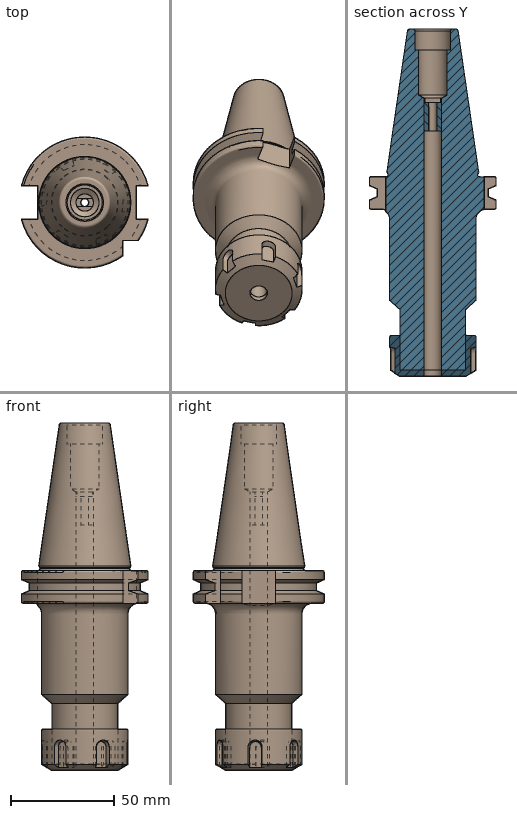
import cadquery as cq
import math

gauge_radius = 44.45 / 2
shank_length = 68.4
taper_ratio = 7 / 24
shank_end_radius = gauge_radius - shank_length * taper_ratio / 2
shank_end_rounding = 1.3
taper_angle = math.atan(taper_ratio / 2)
taper_bottom = -1.0
taper_bottom_radius = gauge_radius - taper_bottom * taper_ratio / 2
collar_radius = gauge_radius - 0.15

flange_radius = 63.55 / 2
flange_top = -3.2
flange_bottom = -19.1
flange_rounding = 1.0
root_fillet = 1.0
root_step = 0.35
groove_radius = 56.25 / 2
groove_middle = -11.1
groove_floor_width = 3.7
groove_mouth_width = 7.0

key_width = 16.1
key_left_x = -22.8
key_right_x = 25.0
notch_x = 18.5
notch_y = -18.5
cutout_bottom = flange_bottom - 2

body_radius = 42 / 2
body_fillet = 5.0
body_bottom = -63.2
neck_radius = 32 / 2
neck_top = -67.7
neck_bottom = -97.0

bore_radius = 17 / 2
bore_entry_radius = 18.2 / 2
bore_entry_depth = 1.0
bore_depth = 10.2
drill_radius = 13.8 / 2
drill_depth = 32.0
drill_point_angle = 118
screw_hole_radius = 8.4 / 2
drill_point_height = (drill_radius - screw_hole_radius) / math.tan(math.radians(drill_point_angle / 2))
drill_point_bottom = shank_length - drill_depth - drill_point_height

screw_length = 16.0
screw_passage_radius = 3.7 / 2
screw_slot_width = 3.7
screw_slot_depth = 2.0

nut_radius = 42 / 2
nut_top = -80.0
nut_bottom = -100.0
nut_top_rounding = 0.9
nut_cone_top = -97.1
nut_end_radius = 16.2
nut_turn = -4.9
wrench_slot_count = 6
wrench_slot_floor_width = 5.6
wrench_slot_draft = 15
wrench_slot_arch_middle = -88.85
wrench_slot_floor = 18.4


def revolve(profile):
    """Turn a closed (radius, Z) profile around the Z axis."""
    return profile.close().revolve(360, (0, 0, 0), (0, 1, 0))


def box(x_range, y_range, z_range):
    """Block between two limits on each axis."""
    size = [high - low for low, high in (x_range, y_range, z_range)]
    corner = (x_range[0], y_range[0], z_range[0])
    return cq.Workplane("XY").box(*size, centered=False).translate(corner)


def holder_blank():
    corner_setback = shank_end_rounding * math.tan((math.pi / 2 - taper_angle) / 2)
    rounding_drop = corner_setback * math.cos(taper_angle)
    rounded_radius = shank_end_radius + corner_setback * math.sin(taper_angle)
    root_radius = collar_radius - root_step
    root_top = flange_top + root_fillet
    groove_top = groove_middle + groove_floor_width / 2
    groove_bottom = groove_middle - groove_floor_width / 2
    return revolve(
        cq.Workplane("XZ")
        .moveTo(0, shank_length)
        .lineTo(shank_end_radius - corner_setback, shank_length)
        .radiusArc((rounded_radius, shank_length - rounding_drop), shank_end_rounding)
        .lineTo(taper_bottom_radius, taper_bottom)
        .lineTo(collar_radius, taper_bottom)
        .lineTo(collar_radius, root_top + root_step)
        .lineTo(root_radius, root_top)
        .radiusArc((root_radius + root_fillet, flange_top), -root_fillet)
        .lineTo(flange_radius - flange_rounding, flange_top)
        .radiusArc((flange_radius, flange_top - flange_rounding), flange_rounding)
        .lineTo(flange_radius, groove_middle + groove_mouth_width / 2)
        .lineTo(groove_radius, groove_top)
        .lineTo(groove_radius, groove_bottom)
        .lineTo(flange_radius, groove_middle - groove_mouth_width / 2)
        .lineTo(flange_radius, flange_bottom + flange_rounding)
        .radiusArc((flange_radius - flange_rounding, flange_bottom), flange_rounding)
        .lineTo(body_radius + body_fillet, flange_bottom)
        .radiusArc((body_radius, flange_bottom - body_fillet), -body_fillet)
        .lineTo(body_radius, body_bottom)
        .lineTo(neck_radius, neck_top)
        .lineTo(neck_radius, neck_bottom)
        .lineTo(0, neck_bottom)
    )


def holder_bore():
    return revolve(
        cq.Workplane("XZ")
        .moveTo(0, shank_length)
        .lineTo(bore_entry_radius, shank_length)
        .lineTo(bore_radius, shank_length - bore_entry_depth)
        .lineTo(bore_radius, shank_length - bore_depth)
        .lineTo(drill_radius, shank_length - bore_depth)
        .lineTo(drill_radius, shank_length - drill_depth)
        .lineTo(screw_hole_radius, drill_point_bottom)
        .lineTo(screw_hole_radius, neck_bottom)
        .lineTo(0, neck_bottom)
    )


def make_holder():
    flange_z = (cutout_bottom, flange_top)
    key_y = (-key_width / 2, key_width / 2)
    left_key = box((-flange_radius, key_left_x), key_y, flange_z)
    right_key = box((key_right_x, flange_radius), key_y, flange_z)
    notch = box((notch_x, flange_radius), (-flange_radius, notch_y), flange_z)
    return holder_blank().cut(holder_bore()).cut(left_key).cut(right_key).cut(notch)


def make_screw():
    screw_bottom = drill_point_bottom - screw_length
    blank = cq.Workplane("XY").workplane(offset=screw_bottom).circle(screw_hole_radius)
    blank = blank.circle(screw_passage_radius).extrude(screw_length)
    slot = box(
        (-screw_hole_radius, screw_hole_radius),
        (-screw_slot_width / 2, screw_slot_width / 2),
        (drill_point_bottom - screw_slot_depth, drill_point_bottom),
    )
    return blank.cut(slot)


def wrench_slot(angle):
    """Round-topped slot, open at the nut's lower end, on the side at `angle` from +X."""
    half_width = wrench_slot_floor_width / 2
    arch_top = wrench_slot_arch_middle + half_width
    return (
        cq.Workplane("YZ", origin=(wrench_slot_floor, 0, 0))
        .moveTo(-half_width, nut_bottom)
        .lineTo(-half_width, wrench_slot_arch_middle)
        .threePointArc((0, arch_top), (half_width, wrench_slot_arch_middle))
        .lineTo(half_width, nut_bottom)
        .close()
        .extrude(nut_radius - wrench_slot_floor, taper=-wrench_slot_draft)
        .rotate((0, 0, 0), (0, 0, 1), angle)
    )


def make_nut():
    nut = revolve(
        cq.Workplane("XZ")
        .moveTo(neck_radius, nut_top)
        .lineTo(nut_radius - nut_top_rounding, nut_top)
        .radiusArc((nut_radius, nut_top - nut_top_rounding), nut_top_rounding)
        .lineTo(nut_radius, nut_cone_top)
        .lineTo(nut_end_radius, nut_bottom)
        .lineTo(screw_hole_radius, nut_bottom)
        .lineTo(screw_hole_radius, neck_bottom)
        .lineTo(neck_radius, neck_bottom)
    )
    for index in range(wrench_slot_count):
        nut = nut.cut(wrench_slot(180 + nut_turn + index * 360 / wrench_slot_count))
    return nut


holder = make_holder()
stop_screw = make_screw()
nut = make_nut()

result = cq.Compound.makeCompound([holder.val(), stop_screw.val(), nut.val()])